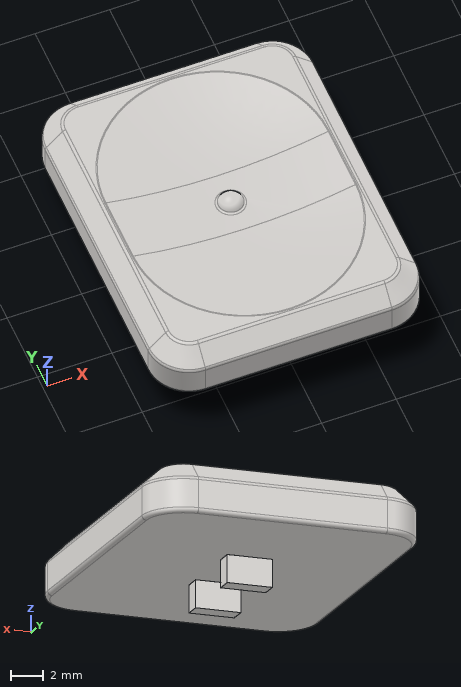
import cadquery as cq

body_width = 18.0
body_length = 22.5
body_height = 3.5
corner_radius = 2.75
bevel = 1.25
edge_radius = 0.3

dish_radius = 7.5
dish_straight = 4.5
dish_depth = 0.9
dish_sphere_radius = (dish_radius**2 + dish_depth**2) / (2 * dish_depth)
dish_floor = body_height - dish_depth

bump_radius = 0.9
bump_height = 0.68
bump_blend = 0.15

stem_width = 3.0
stem_thickness = 1.2
stem_height = 1.82
stem_spacing = 5.7

margin = 0.02


def make_body():
    """Rounded block with a 45 degree bevel around the top and softened edges."""
    block = cq.Workplane("XY").box(body_width, body_length, body_height, centered=(True, True, False))
    block = block.edges("|Z").fillet(corner_radius)
    block = block.faces(">Z").chamfer(bevel)
    bevel_foot = body_height - bevel
    bevel_line = edges_within(body_width, body_length, bevel_foot - margin, bevel_foot + margin)
    block = block.edges(bevel_line).fillet(edge_radius)
    return block.faces(">Z or <Z").edges().fillet(edge_radius)


def make_dish_cutter():
    """Lower cap of a sphere, stretched along Y by the straight middle."""
    cap_half = (
        cq.Workplane("XZ")
        .moveTo(0, body_height)
        .lineTo(0, dish_floor)
        .radiusArc((dish_radius, body_height), -dish_sphere_radius)
        .close()
    )
    cap = cap_half.revolve(360, (0, 0, 0), (0, 1, 0))
    cutter = (
        cq.Workplane("XZ")
        .moveTo(-dish_radius, body_height)
        .threePointArc((0, dish_floor), (dish_radius, body_height))
        .close()
        .extrude(dish_straight / 2, both=True)
    )
    for side in (-1, 1):
        cutter = cutter.union(cap.translate((0, side * dish_straight / 2, 0)))
    return cutter


def make_bump():
    """Ball whose top stands proud of the dish floor."""
    ball_centre = dish_floor + bump_height - bump_radius
    return cq.Workplane("XY").sphere(bump_radius).translate((0, 0, ball_centre))


def make_stems():
    """Pair of stems, rooted at the flat underside."""
    return (
        cq.Workplane("XY")
        .rarray(0.22, stem_spacing, 1, 2)
        .rect(stem_width, stem_thickness)
        .extrude(-stem_height)
    )


def edges_within(half_width, half_length, low, high):
    """Selector for edges lying wholly inside a box centred on the Z axis."""
    return cq.selectors.BoxSelector(
        (-half_width, -half_length, low),
        (half_width, half_length, high),
        boundingbox=True,
    )


def cut_dish(body):
    """Sink the finger dish and soften its rim, leaving the outer top edge alone."""
    rim = edges_within(
        dish_radius + margin,
        dish_radius + dish_straight / 2 + margin,
        body_height - margin,
        body_height + margin,
    )
    return body.cut(make_dish_cutter()).edges(rim).fillet(edge_radius)


def add_bump(body):
    """Stand the bump on the dish floor and blend its foot into the dish."""
    foot = edges_within(
        bump_radius + margin,
        bump_radius + margin,
        dish_floor - margin,
        dish_floor + bump_height / 2,
    )
    return body.union(make_bump()).edges(foot).fillet(bump_blend)


result = add_bump(cut_dish(make_body())).union(make_stems())